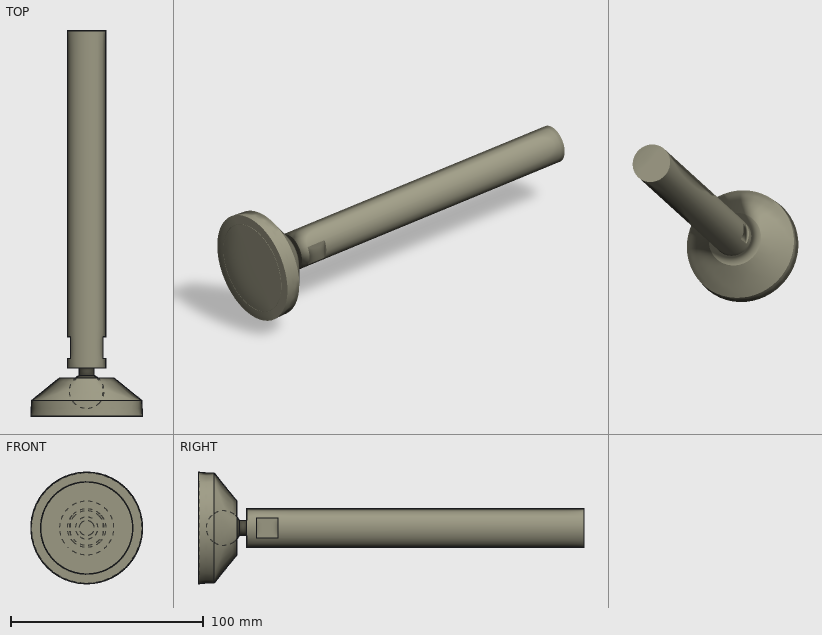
import cadquery as cq
import math

total_length = 200.0

base_diameter = 58.0
rim_top_diameter = 57.2
crown_diameter = 28.0
rim_height = 8.2
foot_height = 20.0
groove_outer_diameter = 48.0
groove_inner_diameter = 47.5
groove_depth = 0.2

shaft_diameter = 20.0
shaft_start = 25.0
neck_diameter = 7.8
ball_diameter = 18.0
neck_start = 21.2
flats_width = 17.0
flats_start = 30.0
flats_length = 11.2

ball_radius = ball_diameter / 2
neck_radius = neck_diameter / 2
ball_center = neck_start - math.sqrt(ball_radius**2 - neck_radius**2)


def make_ball():
    """Ball of the swivel joint, also used to cut its socket."""
    return cq.Workplane("XY").sphere(ball_radius).translate((0, ball_center, 0))


def make_foot():
    """Conical foot with a fine ring groove below and a ball socket in its crown."""
    foot = (
        cq.Workplane("XY")
        .lineTo(groove_inner_diameter / 2, 0)
        .lineTo(groove_inner_diameter / 2, groove_depth)
        .lineTo(groove_outer_diameter / 2, groove_depth)
        .lineTo(groove_outer_diameter / 2, 0)
        .lineTo(base_diameter / 2, 0)
        .lineTo(rim_top_diameter / 2, rim_height)
        .lineTo(crown_diameter / 2, foot_height)
        .lineTo(0, foot_height)
        .close()
        .revolve(360, (0, 0, 0), (0, 1, 0))
    )
    return foot.cut(make_ball())


def make_rod(diameter, start, end):
    """Round rod along the Y axis between two heights."""
    rod = cq.Workplane("XZ").circle(diameter / 2).extrude(-(end - start))
    return rod.translate((0, start, 0))


def make_spindle():
    """Shaft with two wrench flats, a thin neck and a ball end."""
    shaft = make_rod(shaft_diameter, shaft_start, total_length)
    for side in (-1, 1):
        flat_cut = cq.Workplane("XY").box(shaft_diameter, flats_length, shaft_diameter)
        cut_x = side * (flats_width + shaft_diameter) / 2
        shaft = shaft.cut(flat_cut.translate((cut_x, flats_start + flats_length / 2, 0)))
    neck = make_rod(neck_diameter, ball_center, shaft_start)
    return shaft.union(neck).union(make_ball())


foot = make_foot()
spindle = make_spindle()

result = cq.Compound.makeCompound([*foot.solids().vals(), *spindle.solids().vals()])